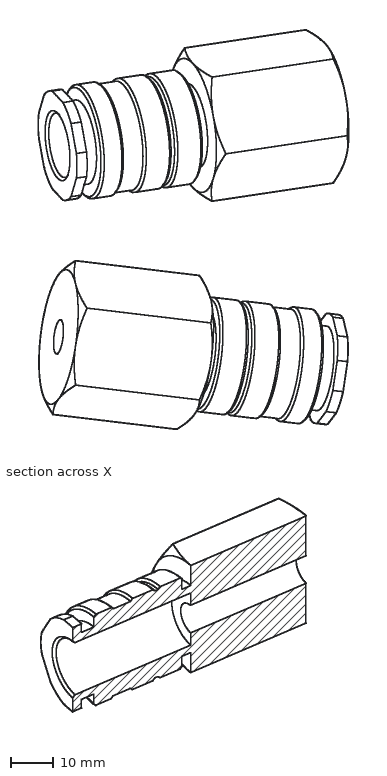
import cadquery as cq
import math

total_length = 67.5
flats_width = 32.0
hex_start = 34.1
hex_chamfer_angle = 30.0

neck_radius = 10.05
collar_radius = 13.65
collar_chamfer = 0.6
body_radius = collar_radius - collar_chamfer
collar_spans = [(6.1, 11.75), (16.7, 23.75), (24.65, 31.65)]
body_start = collar_spans[0][0]
body_end = collar_spans[-1][1]

flange_radius = 13.1
flange_thickness = 2.55
flange_flats_width = 25.2

through_radius = 4.05
socket_radius = 7.7
socket_chamfer = 0.7
socket_depth = hex_start


def section(start, end):
    """Workplane at start, facing +Y, and the length up to end."""
    plane = cq.Plane(origin=(0, start, 0), xDir=(1, 0, 0), normal=(0, 1, 0))
    return cq.Workplane(plane), end - start


def cylinder(radius, start, end):
    workplane, length = section(start, end)
    return workplane.circle(radius).extrude(length)


def hexagon(across_flats, start, end):
    """Hexagonal prism with corners on the X axis."""
    workplane, length = section(start, end)
    across_corners = across_flats / math.cos(math.radians(30))
    return workplane.polygon(6, across_corners).extrude(length)


def turned(profile):
    """Solid of revolution about Y from (radius, y) points."""
    return cq.Workplane("XY").polyline(profile).close().revolve(360, (0, 0), (0, 1))


def hex_nut():
    """Hexagon whose corners are turned down conically at both ends."""
    face_radius = flats_width / 2
    corner_radius = face_radius / math.cos(math.radians(30))
    drop = (corner_radius - face_radius) * math.tan(math.radians(hex_chamfer_angle))
    profile = [
        (0, hex_start),
        (face_radius, hex_start),
        (corner_radius, hex_start + drop),
        (corner_radius, total_length - drop),
        (face_radius, total_length),
        (0, total_length),
    ]
    envelope = turned(profile)
    return hexagon(flats_width, hex_start, total_length).intersect(envelope)


def collar(start, end):
    return cylinder(collar_radius, start, end).edges("%CIRCLE").chamfer(collar_chamfer)


def flange():
    """Round end flange with six flats."""
    disc = cylinder(flange_radius, 0, flange_thickness)
    return disc.intersect(hexagon(flange_flats_width, 0, flange_thickness))


def socket():
    """Stepped bore with a chamfered mouth."""
    mouth_radius = socket_radius + socket_chamfer
    profile = [
        (0, 0),
        (mouth_radius, 0),
        (socket_radius, socket_chamfer),
        (socket_radius, socket_depth),
        (through_radius, socket_depth),
        (through_radius, total_length),
        (0, total_length),
    ]
    return turned(profile)


result = hex_nut()
result = result.union(cylinder(neck_radius, 0, hex_start))
result = result.union(cylinder(body_radius, body_start, body_end))
for collar_start, collar_end in collar_spans:
    result = result.union(collar(collar_start, collar_end))
result = result.union(flange()).cut(socket())